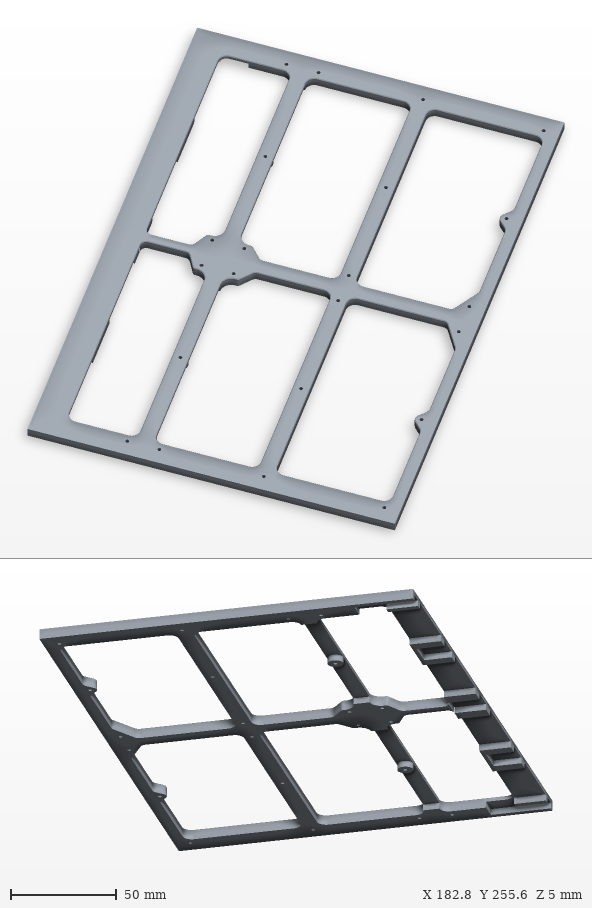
import cadquery as cq
import math

frame_length_x = 182.8
frame_width_y = 255.6
thickness = 5.0
web_thickness = 2.0
relief_depth = thickness - web_thickness

left_edge = -frame_length_x / 2
right_edge = frame_length_x / 2
back_edge = frame_width_y / 2

panel_pitch = 128.0
panel_clearance = 0.2
screw_inset = 8.0
screw_diameter = 1.8
middle_column_offset = 4.0
panel_right_line = right_edge + panel_clearance
panel_left_line = panel_right_line - panel_pitch
screw_column_right = panel_right_line - screw_inset
screw_column_middle = (panel_left_line + panel_right_line) / 2 - middle_column_offset
middle_row = panel_pitch / 2
screw_rows = (screw_inset, middle_row, panel_pitch - screw_inset)

bar_width = 8.0
left_rail_width = 15.5
right_rail_width = 6.1
back_rail_width = 11.6
cross_bar_half = bar_width / 2
thin_cross_bar_half = 2.4

left_bar_min = panel_left_line - bar_width / 2
left_bar_max = panel_left_line + bar_width / 2
middle_bar_min = screw_column_middle - bar_width / 2
middle_bar_max = screw_column_middle + bar_width / 2
left_rail_inner = left_edge + left_rail_width
right_rail_inner = right_edge - right_rail_width
back_rail_inner = back_edge - back_rail_width

hub_half_width = 10.8
hub_half_length = 11.2
hub_taper_left = 4.8
hub_taper_right = 6.0
gusset_length_x = 8.8
gusset_length_y = 14.0

corner_radius = 4.5
hub_fillet_radius = 5.5
hub_corner_radius = 1.5
hub_taper_radius = 3.0
window_chamfer = 0.4

lug_radius = 3.2
lug_flare_radius = 4.0

end_wall_thickness = 2.8
relief_end = back_edge - end_wall_thickness
rail_pocket_length = 29.4
rail_pocket_end = left_edge + rail_pocket_length
teeth = ((6.2, 13.6), (57.0, 51.0), (70.7, 76.9), (118.7, 115.1))
tooth_taper = 0.5
stop_wall_thickness = 2.0
bar_boss_radius = 3.8


def window_prism(corners):
    """Full-depth window cutter from a closed outline of (x, y, radius) corners."""
    count = len(corners)
    outline = None
    for index, (x, y, radius) in enumerate(corners):
        previous = cq.Vector(*corners[index - 1][:2])
        following = cq.Vector(*corners[(index + 1) % count][:2])
        corner = cq.Vector(x, y)
        back = (previous - corner).normalized()
        ahead = (following - corner).normalized()
        half_angle = back.getAngle(ahead) / 2
        setback = radius / math.tan(half_angle)
        sagitta = radius / math.sin(half_angle) - radius
        start = corner + back * setback
        end = corner + ahead * setback
        middle = corner + (back + ahead).normalized() * sagitta
        if outline is None:
            outline = cq.Workplane("XY").moveTo(start.x, start.y)
        else:
            outline = outline.lineTo(start.x, start.y)
        outline = outline.threePointArc((middle.x, middle.y), (end.x, end.y))
    return outline.close().extrude(thickness)


def block(x_min, x_max, y_min, y_max, height):
    """Box standing on the underside plane."""
    return cq.Workplane("XY").box(
        x_max - x_min, y_max - y_min, height, centered=False
    ).translate((x_min, y_min, 0))


def both_halves(shape):
    """Join a shape with its mirror image across the X axis line."""
    return shape.union(shape.mirror("XZ"))


def left_window():
    hub_left = panel_left_line - hub_half_length
    return window_prism([
        (left_rail_inner, thin_cross_bar_half, hub_taper_radius),
        (hub_left - hub_taper_left, thin_cross_bar_half, hub_taper_radius),
        (hub_left, hub_half_width, hub_corner_radius),
        (left_bar_min, hub_half_width, hub_fillet_radius),
        (left_bar_min, back_rail_inner, corner_radius),
        (left_rail_inner, back_rail_inner, corner_radius),
    ])


def middle_window():
    hub_right = panel_left_line + hub_half_length
    return window_prism([
        (left_bar_max, hub_half_width, hub_fillet_radius),
        (hub_right, hub_half_width, hub_corner_radius),
        (hub_right + hub_taper_right, cross_bar_half, hub_taper_radius),
        (middle_bar_min, cross_bar_half, corner_radius),
        (middle_bar_min, back_rail_inner, corner_radius),
        (left_bar_max, back_rail_inner, corner_radius),
    ])


def right_window():
    """Right window, notched by a 45 degree lug around the middle screw of the rail."""
    lug_tip = screw_column_right - lug_radius * math.sqrt(2)
    lug_half_width = right_rail_inner - lug_tip
    return window_prism([
        (middle_bar_max, cross_bar_half, corner_radius),
        (right_rail_inner - gusset_length_x, cross_bar_half, hub_taper_radius),
        (right_rail_inner, cross_bar_half + gusset_length_y, hub_taper_radius),
        (right_rail_inner, middle_row - lug_half_width, lug_flare_radius),
        (lug_tip, middle_row, lug_radius),
        (right_rail_inner, middle_row + lug_half_width, lug_flare_radius),
        (right_rail_inner, back_rail_inner, corner_radius),
        (middle_bar_max, back_rail_inner, corner_radius),
    ])


def window_rims():
    """Select edges lying inside the outer outline of the frame."""
    reach_x = right_edge - right_rail_width / 2
    reach_y = back_edge - right_rail_width / 2
    return cq.selectors.BoxSelector((-reach_x, -reach_y, 0), (reach_x, reach_y, 2 * thickness))


def rail_tooth(plain_side, tapered_side):
    """Rib across the left rail, one side sloping inwards towards the underside."""
    taper = math.copysign(tooth_taper, plain_side - tapered_side)
    return (
        cq.Workplane("YZ", origin=(left_edge, 0, 0))
        .moveTo(plain_side, 0)
        .lineTo(plain_side, relief_depth)
        .lineTo(tapered_side, relief_depth)
        .lineTo(tapered_side + taper, 0)
        .close()
        .extrude(left_rail_width)
    )


def left_rail_relief():
    """Underside recess of the left rail, leaving its teeth and a wall joining the middle pair."""
    relief = block(left_edge, left_rail_inner, 0, relief_end, relief_depth)
    pocket = block(left_edge, rail_pocket_end, back_rail_inner - corner_radius, relief_end, relief_depth)
    relief = relief.union(pocket)
    for plain_side, tapered_side in teeth:
        relief = relief.cut(rail_tooth(plain_side, tapered_side))
    (_, (stop_start, _), (stop_end, _), _) = teeth
    stop_start_x = left_rail_inner - stop_wall_thickness
    stop_wall = block(stop_start_x, left_rail_inner, stop_start, stop_end, relief_depth)
    return relief.cut(stop_wall)


def left_bar_relief():
    """Underside recess of the left bar, leaving a round boss at its middle screw."""
    start = hub_half_width + hub_fillet_radius
    relief = block(left_bar_min, left_bar_max, start, back_rail_inner - corner_radius, relief_depth)
    boss = (
        cq.Workplane("XY")
        .center(panel_left_line, middle_row)
        .circle(bar_boss_radius)
        .extrude(relief_depth)
    )
    return relief.cut(boss)


def screw_holes():
    inner_columns = (panel_left_line - screw_inset, panel_left_line + screw_inset)
    centres = []
    for row in screw_rows:
        columns = (panel_left_line,) if row == middle_row else inner_columns
        for column in columns + (screw_column_middle, screw_column_right):
            centres.append((column, row))
    return cq.Workplane("XY").pushPoints(centres).circle(screw_diameter / 2).extrude(thickness)


result = cq.Workplane("XY").box(frame_length_x, frame_width_y, thickness, centered=(True, True, False))
for window in (left_window(), middle_window(), right_window()):
    result = result.cut(both_halves(window))
result = result.faces(">Z").edges(window_rims()).chamfer(window_chamfer)
for recess in (left_rail_relief(), left_bar_relief(), screw_holes()):
    result = result.cut(both_halves(recess))